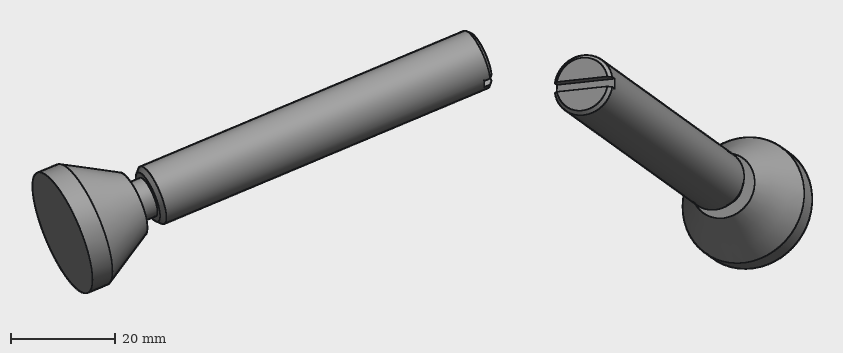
import cadquery as cq

total_length = 90.0

foot_diameter = 25.0
foot_top_diameter = 13.0
foot_rim_height = 4.3
foot_height = 15.0

neck_diameter = 8.0
neck_length = 3.4

rod_diameter = 12.0
neck_end_chamfer = 0.9
slot_end_chamfer = 0.7

slot_width = 2.0
slot_depth = 2.0

foot_radius = foot_diameter / 2
foot_top_radius = foot_top_diameter / 2
neck_radius = neck_diameter / 2
rod_radius = rod_diameter / 2
rod_start = foot_height + neck_length


def revolved_body():
    """Foot, neck and rod as one half profile turned about the Y axis."""
    return (
        cq.Workplane("XY")
        .lineTo(foot_radius, 0)
        .lineTo(foot_radius, foot_rim_height)
        .lineTo(foot_top_radius, foot_height)
        .lineTo(neck_radius, foot_height)
        .lineTo(neck_radius, rod_start)
        .lineTo(rod_radius - neck_end_chamfer, rod_start)
        .lineTo(rod_radius, rod_start + neck_end_chamfer)
        .lineTo(rod_radius, total_length - slot_end_chamfer)
        .lineTo(rod_radius - slot_end_chamfer, total_length)
        .lineTo(0, total_length)
        .close()
        .revolve(360, (0, 0, 0), (0, 1, 0))
    )


def screwdriver_slot():
    """Cutter running along X through the full width of the rod end."""
    return (
        cq.Workplane("XY")
        .box(rod_diameter, slot_depth, slot_width)
        .translate((0, total_length - slot_depth / 2, 0))
    )


result = revolved_body().cut(screwdriver_slot())